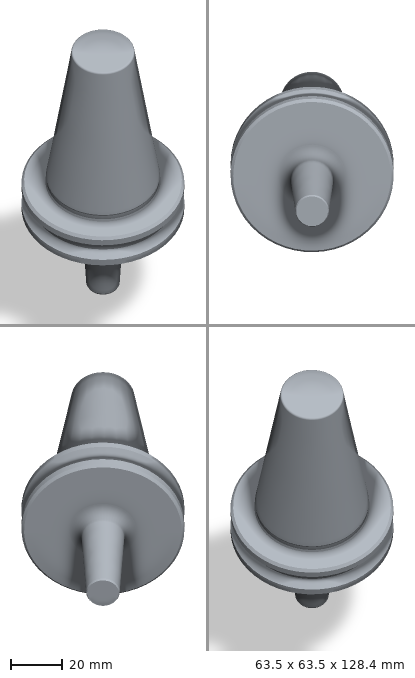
import cadquery as cq
import math

total_height = 128.4

taper_base_radius = 22.2
taper_length = 68.3
taper_slope = 7 / 48
rim_fillet = 0.8

collar_radius = 22.0
collar_step_height = 0.8
collar_height = 3.3
undercut_height = 0.8
undercut_depth = 0.5

flange_diameter = 63.5
flange_radius = flange_diameter / 2
flange_thickness = 15.9
flange_chamfer = 1.0
groove_root_radius = 28.1
groove_root_width = 3.9
groove_side_angle = 30.0
groove_center_below_top = 7.8

stem_top_radius = 8.3
stem_tip_radius = 6.5
stem_length = 36.3
stem_tip_chamfer_height = 0.8
stem_tip_chamfer_width = 0.4

taper_base_z = total_height - taper_length
taper_top_radius = taper_base_radius - taper_slope * taper_length
flange_top_z = taper_base_z - collar_height
flange_bottom_z = flange_top_z - flange_thickness
groove_center_z = flange_top_z - groove_center_below_top
groove_depth = flange_radius - groove_root_radius
groove_half_root = groove_root_width / 2
groove_half_mouth = groove_half_root + groove_depth * math.tan(math.radians(groove_side_angle))
flange_face_radius = flange_radius - flange_chamfer

stem_angle = math.atan2(stem_top_radius - stem_tip_radius, stem_length - stem_tip_chamfer_height)
blend_radius = (flange_bottom_z - stem_length) / (1 - math.sin(stem_angle))
blend_center_r = stem_top_radius + blend_radius * math.cos(stem_angle)
blend_center_z = flange_bottom_z - blend_radius
blend_mid_offset = blend_radius * math.sqrt(0.5)

profile = (
    cq.Workplane("XZ")
    .moveTo(0, 0)
    .lineTo(stem_tip_radius - stem_tip_chamfer_width, 0)
    .lineTo(stem_tip_radius, stem_tip_chamfer_height)
    .lineTo(stem_top_radius, stem_length)
    .threePointArc(
        (blend_center_r - blend_mid_offset, blend_center_z + blend_mid_offset),
        (blend_center_r, flange_bottom_z),
    )
    .lineTo(flange_face_radius, flange_bottom_z)
    .lineTo(flange_radius, flange_bottom_z + flange_chamfer)
    .lineTo(flange_radius, groove_center_z - groove_half_mouth)
    .lineTo(groove_root_radius, groove_center_z - groove_half_root)
    .lineTo(groove_root_radius, groove_center_z + groove_half_root)
    .lineTo(flange_radius, groove_center_z + groove_half_mouth)
    .lineTo(flange_radius, flange_top_z - flange_chamfer)
    .lineTo(flange_face_radius, flange_top_z)
    .lineTo(collar_radius + undercut_depth, flange_top_z)
    .lineTo(collar_radius, flange_top_z + undercut_height)
    .lineTo(collar_radius, taper_base_z - collar_step_height)
    .lineTo(taper_base_radius, taper_base_z)
    .lineTo(taper_top_radius, total_height)
    .lineTo(0, total_height)
    .close()
)

holder = profile.revolve(360, (0, 0, 0), (0, 1, 0))

result = holder.faces(">Z").edges().fillet(rim_fillet)